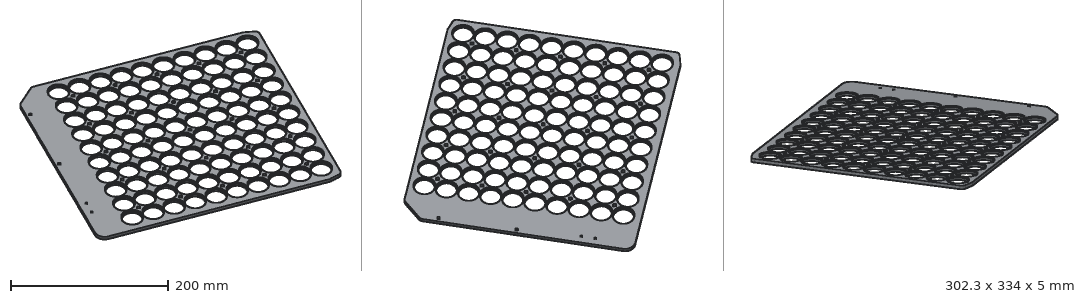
import cadquery as cq

width = 302.3
length = 334.0
thickness = 5.0
half_width = width / 2
half_length = length / 2

taper_inset = 5.0
taper_length = 18.5
taper_radius = 6.0
corner_cut = 26.0
corner_cut_radius = 6.7
round_corner_radius = 13.5

grid_count = 10
grid_span = 258.2
grid_pitch = grid_span / (grid_count - 1)
grid_center_x = -1.5
grid_center_y = 17.0
large_diameter = 26.5
rim_diameter = 28.5
rim_depth = 1.7

gap_hole_diameter = 4.5
gap_hole_count = grid_count // 2
gap_hole_pitch = 2 * grid_pitch

mount_hole_diameter = 3.7
mount_hole_spacing = 101.2
mount_hole_y = -161.3
pin_hole_diameter = 2.47
pin_hole_xs = (81.8, 100.0)
pin_hole_y = -156.5


def make_plate():
    """Plate with tapered back corners, one cut front corner and one rounded front corner."""
    outline = [
        (-half_width, -half_length + corner_cut),
        (-half_width + corner_cut, -half_length),
        (half_width, -half_length),
        (half_width, half_length - taper_length),
        (half_width - taper_inset, half_length),
        (-half_width + taper_inset, half_length),
        (-half_width, half_length - taper_length),
    ]
    plate = cq.Workplane("XY").polyline(outline).close().extrude(thickness)
    plate = plate.edges("|Z and >Y").fillet(taper_radius)
    plate = plate.edges("|Z and >X and <Y").fillet(round_corner_radius)
    cut_start = cq.selectors.NearestToPointSelector((*outline[0], thickness / 2))
    cut_end = cq.selectors.NearestToPointSelector((*outline[1], thickness / 2))
    return plate.edges("|Z").edges(cut_start + cut_end).fillet(corner_cut_radius)


def grid_plane(pitch, count):
    """Square array of points about the center of the hole grid."""
    plane = cq.Workplane("XY").center(grid_center_x, grid_center_y)
    return plane.rarray(pitch, pitch, count, count)


def make_large_holes():
    """Revolved cutters: a straight bore that widens to the rim at the top face."""
    profile = [
        (0, 0),
        (large_diameter / 2, 0),
        (large_diameter / 2, thickness - rim_depth),
        (rim_diameter / 2, thickness),
        (0, thickness),
    ]
    cutter = cq.Workplane("XZ").polyline(profile).close().revolve(360, (0, 0, 0), (0, 1, 0)).val()
    return grid_plane(grid_pitch, grid_count).eachpoint(lambda place: cutter.moved(place))


def through_holes(points, diameter):
    """Straight cutters through the plate, one at each point of the workplane."""
    return points.circle(diameter / 2).extrude(thickness)


gap_points = grid_plane(gap_hole_pitch, gap_hole_count)
mount_points = cq.Workplane("XY").pushPoints(
    [(grid_center_x - mount_hole_spacing, mount_hole_y), (grid_center_x, mount_hole_y)]
)
pin_points = cq.Workplane("XY").pushPoints([(x, pin_hole_y) for x in pin_hole_xs])

result = (
    make_plate()
    .cut(make_large_holes())
    .cut(through_holes(gap_points, gap_hole_diameter))
    .cut(through_holes(mount_points, mount_hole_diameter))
    .cut(through_holes(pin_points, pin_hole_diameter))
    .solids()
)